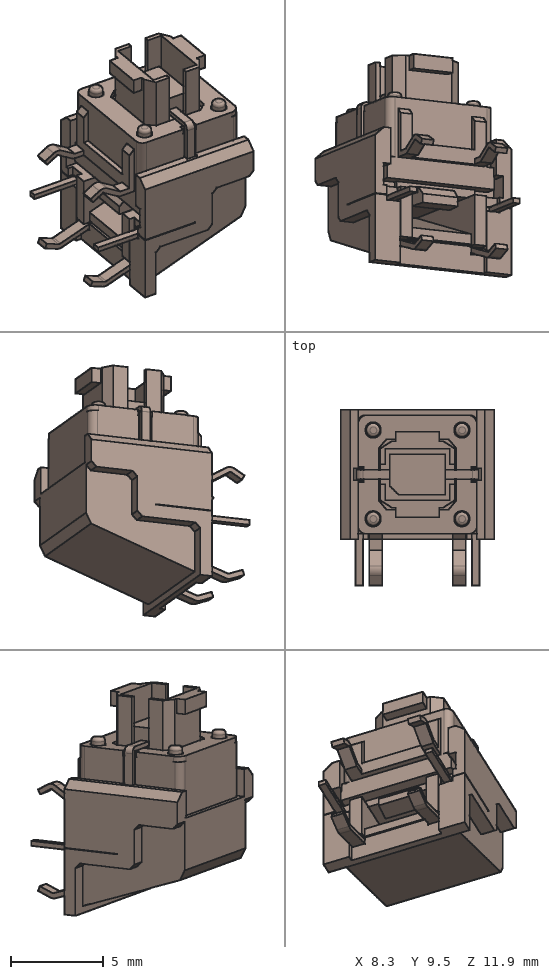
import cadquery as cq
import math


WING_X = 8.3 / 2
CORE_X = 3.35
FRONT_Y = -3.5
BACK_Y = 3.5
WING_TOP_Z = 7.38
WING_CHAMFER_X = 0.52
WING_CHAMFER_Z = 0.46
HIGH_STEP_Z = 5.41
LOW_STEP_Z = 2.92
STEP_Y = 0.83
STEP_CHAMFER = 0.29
SHEET = 0.3
FLOOR_Z = 4.2

SLOPE = 0.34
CORE_FRONT_Y = -3.18
LEG_BACK_Y = -2.81
LEG_X = 5.27 / 2
HEEL_TOP_Z = 3.01
TOE_Z = 0.39
PLATE_TOP_Z = 1.4
NOTCH_X = 1.86
NOTCH_BOTTOM_Z = 0.96

POST_X_INNER = 1.89
POST_X_OUTER = 2.61
POST_BOTTOM_Z = 1.45
CAVITY_FRONT_Y = -3.13
CAVITY_EDGE_Z = 2.1
CAVITY_SLOPE = 0.33
GROOVE_TOP_Z = 1.54

BODY_HALF = 3.2
BODY_TOP_Z = 9.19
BODY_CORNER_R = 0.4
COVER_CORNER_R = 0.49
ROUND_BOTTOM_Z = 5.88
LEDGE_TOP_Z = 6.69
BRACKET_TOP_Z = 8.57
COVER_Z = BODY_TOP_Z - SHEET

FLANGE_X = 3.25
FLANGE_BOTTOM_Z = 4.68
CHANNEL_X = 3.64
CHANNEL_TOP_Z = 5.4
STEM_HALF = 2.38
STEM_FRONT_Y = -2.62
CHANNEL_BACK_Y = -2.38

LATCH_BOTTOM_Z = 3.55
LATCH_NOSE_Z = 4.03
LATCH_TOP_Z = 4.5
LATCH_FRONT_X = 1.06
LATCH_BACK_X = 1.14
LATCH_BACK_Y = -2.02

PLUNGER_X = 4.01 / 2
PLUNGER_Y = 1.78
PLUNGER_TOP_Z = 11.9
PLUNGER_CUT_X = 0.61
PLUNGER_CUT_Y = 0.39
HOLE_X = 2.08
HOLE_Y = 1.89
HOLE_CUT_X = 0.4
HOLE_CUT_Y = 0.48
BORE_X = 1.74
BORE_Y = 1.39
BORE_BOTTOM_Z = 9.07
SLOT_Y = 0.54
TAB_X = 1.18
TAB_Y = 4.6 / 2
TAB_HEIGHT = 0.81
LAMP_X = 1.49
LAMP_Y = 1.1
LAMP_TOP_Z = 10.17
LAMP_CHAMFER = 0.46

RIVET_PITCH = 4.78
RIVET_R = 0.75 / 2
RIVET_HOLE_R = 0.85 / 2
RIVET_TOP_Z = 9.59
RIVET_ROUND = 0.19

LEAD_X = 3.31
LEAD_Y = 0.25
LEAD_THICKNESS = 0.25
LEAD_TOP_Z = 9.45
LEAD_BEND_R = 0.35
LEAD_PIN_X = (2.93, 3.34)
LEAD_PIN_Z = (3.38, 3.65)
GROOVE_X = 2.9
GROOVE_Y = 0.37
COVER_GROOVE_Y = 0.42
WING_SLOT_X = 3.44
WING_SLOT_Y = 0.65 / 2
RECESS_X = 3.44
TIP_Y = -6.0
OUTER_BEND_R = 0.5

SLIT_BACK_Y = -0.26
SLIT_HEIGHT = 0.04


def block(x0, x1, y0, y1, z0, z1):
    """Box between opposite corners."""
    return cq.Workplane("XY").box(x1 - x0, y1 - y0, z1 - z0, centered=False).translate((x0, y0, z0))


def centred_block(half_x, y0, y1, z0, z1):
    """Box symmetric about the YZ plane."""
    return block(-half_x, half_x, y0, y1, z0, z1)


def side_prism(points, x0, x1):
    """Prism along X from an outline given as (y, z) points."""
    return cq.Workplane("YZ").polyline(points).close().extrude(x1 - x0).translate((x0, 0, 0))


def both_sides(shape):
    """The shape together with its mirror image across the YZ plane."""
    return shape.union(shape.mirror("YZ"))


def octagon(half_x, half_y, cut_x, cut_y, z0, z1):
    """Upright prism: a rectangle with its four corners cut off."""
    flat_x = half_x - cut_x
    flat_y = half_y - cut_y
    points = [
        (half_x, -flat_y), (half_x, flat_y), (flat_x, half_y), (-flat_x, half_y),
        (-half_x, flat_y), (-half_x, -flat_y), (-flat_x, -half_y), (flat_x, -half_y),
    ]
    return cq.Workplane("XY").workplane(offset=z0).polyline(points).close().extrude(z1 - z0)


def wing():
    """Right-hand wing with its leg, chamfered along the top."""
    step = STEP_CHAMFER
    outline = [
        (FRONT_Y, WING_TOP_Z), (BACK_Y, WING_TOP_Z),
        (BACK_Y, HIGH_STEP_Z + step), (BACK_Y - step, HIGH_STEP_Z),
        (STEP_Y + step, HIGH_STEP_Z), (STEP_Y, HIGH_STEP_Z - step),
        (STEP_Y, LOW_STEP_Z + step), (STEP_Y - step, LOW_STEP_Z),
        (LEG_BACK_Y + step, LOW_STEP_Z), (LEG_BACK_Y, LOW_STEP_Z - step),
        (LEG_BACK_Y, 0), (FRONT_Y, 0),
    ]
    shape = side_prism(outline, BODY_HALF, WING_X)
    corner = (
        cq.Workplane("XZ")
        .moveTo(WING_X, WING_TOP_Z)
        .lineTo(WING_X - WING_CHAMFER_X, WING_TOP_Z)
        .lineTo(WING_X, WING_TOP_Z - WING_CHAMFER_Z)
        .close()
        .extrude(BACK_Y, both=True)
    )
    leg = block(LEG_X, WING_X, FRONT_Y, LEG_BACK_Y, 0, FLOOR_Z)
    slit = block(LEG_X, WING_X, FRONT_Y, SLIT_BACK_Y, LEAD_PIN_Z[1], LEAD_PIN_Z[1] + SLIT_HEIGHT)
    recess = block(LEG_X, RECESS_X, FRONT_Y, FRONT_Y + SHEET, LEAD_PIN_Z[0], FLOOR_Z)
    return shape.cut(corner).union(leg).cut(slit).cut(recess)


def core():
    """Housing core with the sloped underside, the front plate and the posts."""
    heel_y = BACK_Y - SHEET
    heel_z = TOE_Z + SLOPE * (heel_y - LEG_BACK_Y)
    outline = [
        (CORE_FRONT_Y, 0), (LEG_BACK_Y, 0), (LEG_BACK_Y, TOE_Z), (heel_y, heel_z), (BACK_Y, HEEL_TOP_Z),
        (BACK_Y, ROUND_BOTTOM_Z), (BODY_HALF, ROUND_BOTTOM_Z), (BODY_HALF, FLOOR_Z), (CORE_FRONT_Y, FLOOR_Z),
    ]
    shape = side_prism(outline, -CORE_X, CORE_X)
    post = block(POST_X_INNER, POST_X_OUTER, FRONT_Y, CORE_FRONT_Y, POST_BOTTOM_Z, FLOOR_Z)
    notch = block(NOTCH_X, LEG_X, CORE_FRONT_Y, CORE_FRONT_Y + SHEET, NOTCH_BOTTOM_Z, POST_BOTTOM_Z)
    return shape.union(both_sides(post)).cut(both_sides(notch))


def front_cavity():
    """Space under the switch above a sloped floor, with a groove over the front plate."""
    back_y = BODY_HALF
    back_z = CAVITY_EDGE_Z + CAVITY_SLOPE * (back_y - CAVITY_FRONT_Y)
    outline = [
        (FRONT_Y, PLATE_TOP_Z), (CAVITY_FRONT_Y, PLATE_TOP_Z), (CAVITY_FRONT_Y, CAVITY_EDGE_Z),
        (back_y, back_z), (back_y, FLOOR_Z), (FRONT_Y, FLOOR_Z),
    ]
    wedge = side_prism(outline, -POST_X_INNER, POST_X_INNER)
    groove = centred_block(POST_X_INNER, FRONT_Y, CAVITY_FRONT_Y + SHEET, PLATE_TOP_Z, GROOVE_TOP_Z)
    return wedge.union(groove)


def switch_body():
    """Square switch body with brackets, ledge and the flange below."""
    body = centred_block(BODY_HALF, -BODY_HALF, BODY_HALF, ROUND_BOTTOM_Z, COVER_Z)
    body = body.edges("|Z").fillet(BODY_CORNER_R)
    cover = centred_block(BODY_HALF, -BODY_HALF, BODY_HALF, COVER_Z, BODY_TOP_Z)
    cover = cover.edges("|Z and <Y").fillet(BODY_CORNER_R).edges("|Z and >Y").fillet(COVER_CORNER_R)
    body = body.union(cover)
    body = body.union(centred_block(BODY_HALF, -BODY_HALF, BODY_HALF, CHANNEL_TOP_Z, ROUND_BOTTOM_Z))
    body = body.union(centred_block(FLANGE_X, -BODY_HALF, BODY_HALF, FLANGE_BOTTOM_Z, CHANNEL_TOP_Z))
    body = body.union(centred_block(STEM_HALF, STEM_FRONT_Y, BODY_HALF, FLOOR_Z, FLANGE_BOTTOM_Z))
    body = body.union(centred_block(POST_X_OUTER, FRONT_Y, -BODY_HALF, ROUND_BOTTOM_Z, LEDGE_TOP_Z))
    bracket = side_prism(
        [
            (-BODY_HALF, ROUND_BOTTOM_Z), (-BODY_HALF, BRACKET_TOP_Z),
            (FRONT_Y, BRACKET_TOP_Z - SHEET), (FRONT_Y, ROUND_BOTTOM_Z),
        ],
        POST_X_INNER,
        POST_X_OUTER,
    )
    return body.union(both_sides(bracket))


def latch():
    """Latch nose under the switch body: chamfered on top, its sides tapering towards the front."""
    outline = [
        (CAVITY_FRONT_Y, LATCH_BOTTOM_Z), (CAVITY_FRONT_Y, LATCH_NOSE_Z),
        (CAVITY_FRONT_Y + LATCH_TOP_Z - LATCH_NOSE_Z, LATCH_TOP_Z),
        (LATCH_BACK_Y, LATCH_TOP_Z), (LATCH_BACK_Y, LATCH_BOTTOM_Z),
    ]
    taper = [
        (LATCH_FRONT_X, CAVITY_FRONT_Y), (LATCH_BACK_X, LATCH_BACK_Y),
        (-LATCH_BACK_X, LATCH_BACK_Y), (-LATCH_FRONT_X, CAVITY_FRONT_Y),
    ]
    plan = cq.Workplane("XY").polyline(taper).close().extrude(LATCH_TOP_Z)
    return side_prism(outline, -LATCH_BACK_X, LATCH_BACK_X).intersect(plan)


def plunger():
    """Hollow plunger, slotted on both sides, with a grip tab at front and back."""
    shape = octagon(PLUNGER_X, PLUNGER_Y, PLUNGER_CUT_X, PLUNGER_CUT_Y, COVER_Z, PLUNGER_TOP_Z)
    shape = shape.union(centred_block(TAB_X, -TAB_Y, TAB_Y, PLUNGER_TOP_Z - TAB_HEIGHT, PLUNGER_TOP_Z))
    shape = shape.cut(centred_block(BORE_X, -BORE_Y, BORE_Y, BORE_BOTTOM_Z, PLUNGER_TOP_Z))
    return shape.cut(centred_block(PLUNGER_X, -SLOT_Y, SLOT_Y, BORE_BOTTOM_Z, PLUNGER_TOP_Z))


def lamp():
    """Lamp block inside the plunger, with one corner cut off."""
    shape = centred_block(LAMP_X, -LAMP_Y, LAMP_Y, COVER_Z, LAMP_TOP_Z)
    return shape.edges("|Z and <X and <Y").chamfer(LAMP_CHAMFER)


def lamp_leads():
    """Lead over the cover and down both sides, and the straight pins at the front."""
    strap = centred_block(LEAD_X, -LEAD_Y, LEAD_Y, LEAD_PIN_Z[0], LEAD_TOP_Z)
    strap = strap.edges("|Y and >Z").fillet(LEAD_BEND_R)
    inner_x = LEAD_X - LEAD_THICKNESS
    inner = centred_block(inner_x, -LEAD_Y, LEAD_Y, 0, LEAD_TOP_Z - LEAD_THICKNESS)
    strap = strap.cut(inner.edges("|Y and >Z").fillet(LEAD_BEND_R - LEAD_THICKNESS))
    pin = block(*LEAD_PIN_X, TIP_Y, -LEAD_Y, *LEAD_PIN_Z)
    return strap.union(both_sides(pin))


def lead_grooves():
    """Grooves for the lead in the body, the cover and the wings."""
    body_groove = block(GROOVE_X, BODY_HALF, -GROOVE_Y, GROOVE_Y, WING_TOP_Z, BODY_TOP_Z)
    cover_groove = block(GROOVE_X, BODY_HALF, -COVER_GROOVE_Y, COVER_GROOVE_Y, COVER_Z, BODY_TOP_Z)
    wing_slot = block(GROOVE_X, WING_SLOT_X, -WING_SLOT_Y, WING_SLOT_Y, CHANNEL_TOP_Z, WING_TOP_Z)
    return both_sides(body_groove.union(cover_groove).union(wing_slot))


def strip_outline(path, thickness):
    """Mitred outline, half a thickness above and below a path of (y, z) points that runs towards -Y."""
    rises = [math.atan2(z1 - z0, y0 - y1) for (y0, z0), (y1, z1) in zip(path, path[1:])]
    upper = []
    lower = []
    for (y, z), rise_in, rise_out in zip(path, rises[:1] + rises, rises + rises[-1:]):
        middle = (rise_in + rise_out) / 2
        reach = thickness / 2 / math.cos((rise_out - rise_in) / 2)
        offset_y = reach * math.sin(middle)
        offset_z = reach * math.cos(middle)
        upper.append((y + offset_y, z + offset_z))
        lower.append((y - offset_y, z - offset_z))
    return upper + lower[::-1]


def terminal_strip(path):
    """Right-hand bent sheet terminal with sharp bends."""
    return side_prism(strip_outline(path, SHEET), POST_X_INNER, POST_X_OUTER)


def terminals():
    """Two upper and two lower terminals; the last bend of each is rounded."""
    foot_z = ROUND_BOTTOM_Z + SHEET / 2
    upper = [(-BODY_HALF, foot_z), (-4.13, foot_z), (-5.18, 6.65), (-5.93, 6.22)]
    lower = [(-2.86, 1.29), (-5.07, 0.57), (-5.94, 0.9)]
    upper_strip = terminal_strip(upper).edges("|X and >Z").fillet(OUTER_BEND_R)
    lower_strip = terminal_strip(lower).edges("|X and <Z").fillet(OUTER_BEND_R)
    bend_y, bend_z = lower[1]
    inner_bend = cq.selectors.NearestToPointSelector((POST_X_INNER, bend_y, bend_z + SHEET / 2))
    lower_strip = lower_strip.edges("|X").edges(inner_bend).fillet(OUTER_BEND_R - SHEET)
    return both_sides(upper_strip.union(lower_strip))


def rivets():
    """Four round-headed rivets standing in the cover holes."""
    rivet = cq.Workplane("XY").workplane(offset=COVER_Z)
    rivet = rivet.rect(RIVET_PITCH, RIVET_PITCH, forConstruction=True).vertices().circle(RIVET_R)
    return rivet.extrude(RIVET_TOP_Z - COVER_Z).faces(">Z").edges().fillet(RIVET_ROUND)


def cover_openings():
    """Opening around the plunger and a hole around each rivet, as deep as the cover."""
    holes = cq.Workplane("XY").workplane(offset=COVER_Z)
    holes = holes.rect(RIVET_PITCH, RIVET_PITCH, forConstruction=True).vertices().circle(RIVET_HOLE_R)
    opening = octagon(HOLE_X, HOLE_Y, HOLE_CUT_X, HOLE_CUT_Y, COVER_Z, BODY_TOP_Z)
    return opening.union(holes.extrude(SHEET))


channel = centred_block(CHANNEL_X, FRONT_Y, CHANNEL_BACK_Y, FLOOR_Z, CHANNEL_TOP_Z)
upper_filling = centred_block(CORE_X, CHANNEL_BACK_Y, BODY_HALF, FLOOR_Z, CHANNEL_TOP_Z)

housing = core().union(both_sides(wing())).union(upper_filling).cut(channel).cut(front_cavity())
switch = switch_body().cut(cover_openings())

result = (
    housing.union(switch)
    .cut(lead_grooves())
    .union(latch())
    .union(plunger())
    .union(lamp())
    .union(lamp_leads())
    .union(rivets())
    .union(terminals())
)